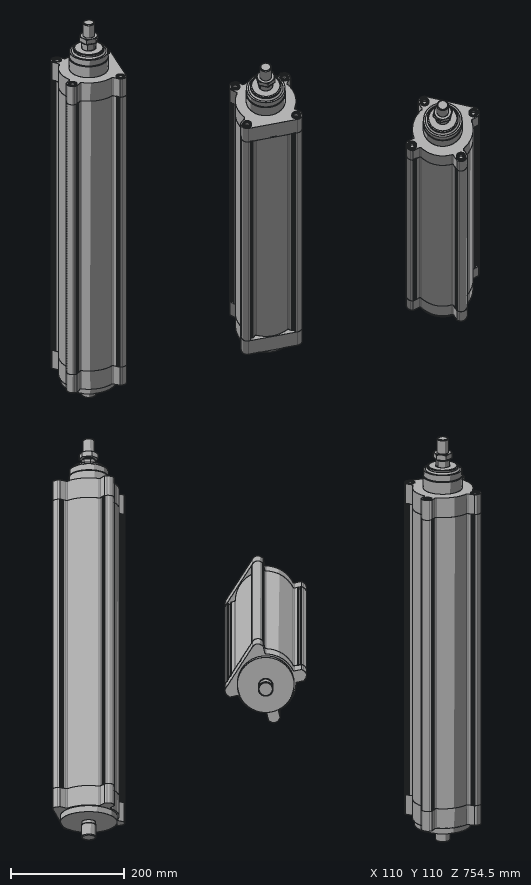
import cadquery as cq
import math

TOTAL_HEIGHT = 754.5
SHAFT_BOTTOM = 0.0
SHAFT_SHOULDER = 23.5
FLANGE_BOTTOM = 29.5
BASE_CAP_BOTTOM = 41.0
CAP_HEIGHT = 37.0
HEAD_CAP_TOP = 662.0
BASE_CAP_TOP = BASE_CAP_BOTTOM + CAP_HEIGHT
HEAD_CAP_BOTTOM = HEAD_CAP_TOP - CAP_HEIGHT

HOUSING_WIDTH = 110.0
BODY_RADIUS = 53.5
SCREW_OFFSET = 44.5
LUG_EDGE = 40.0
VALLEY_FILLET = 2.0

SLOT_MOUTH_WIDTH = 7.0
SLOT_MOUTH_DEPTH = 1.5
SLOT_WIDTH = 3.0
SLOT_DEPTH = 4.0
SLOT_FROM_EDGE = 4.0

LUG_FACE = HOUSING_WIDTH / 2
LUG_RADIUS = LUG_FACE - SCREW_OFFSET
FLANK_DROP = LUG_FACE - LUG_EDGE
VALLEY_NEAR = (math.sqrt(2 * BODY_RADIUS**2 - FLANK_DROP**2) - FLANK_DROP) / 2
VALLEY_FAR = VALLEY_NEAR + FLANK_DROP

SCREW_RECESS_DIAMETER = 16.0
SCREW_HEAD_DIAMETER = 14.0
SCREW_SOCKET_DIAMETER = 8.0
SCREW_RECESS_DEPTH = 2.0
SCREW_SOCKET_DEPTH = 7.5
SCREW_SOCKET_CHAMFER = 1.1

COLLAR_DIAMETER = 69.5
COLLAR_UPPER_DIAMETER = 68.0
COLLAR_STEP = 683.5
COLLAR_CHAMFER_HEIGHT = 1.5
COLLAR_TOP = 696.5
WIPER_BASE_DIAMETER = 61.0
WIPER_DIAMETER = 54.0
WIPER_TOP_DIAMETER = 50.0
WIPER_CONE_HEIGHT = 3.0
WIPER_TOP = 703.0
WIPER_CHAMFER_HEIGHT = 1.0

FLANGE_DIAMETER = 100.0
SHAFT_DIAMETER = 26.5
SHAFT_NECK_DIAMETER = 24.0
SHAFT_CHAMFER = 1.5

ROD_DIAMETER = 25.0
ROD_FLATS = 22.0
ROD_SHOULDER = 715.0
THREAD_DIAMETER = 20.0
THREAD_CHAMFER = 1.5
UNDERCUT_DIAMETER = 18.0
NUT_BOTTOM = 718.0
NUT_HEIGHT = 10.0
NUT_FLATS = 30.0
NUT_CHAMFER_DIAMETER = 30.0
NUT_CHAMFER_ANGLE = 30


def cylinder(diameter, bottom, top):
    return cq.Workplane("XY").workplane(offset=bottom).circle(diameter / 2).extrude(top - bottom)


def turned(x, y, quarter):
    """Turns a point about the axis by a number of quarter turns."""
    for _ in range(quarter):
        x, y = -y, x
    return x, y


def housing_prism(bottom, top):
    """Round body with four corner lugs, the same on all four sides."""
    outline = cq.Workplane("XY").workplane(offset=bottom).moveTo(VALLEY_FAR, VALLEY_NEAR)
    for quarter in range(4):
        outline = (
            outline.lineTo(*turned(LUG_FACE, LUG_EDGE, quarter))
            .lineTo(*turned(LUG_FACE, SCREW_OFFSET, quarter))
            .radiusArc(turned(SCREW_OFFSET, LUG_FACE, quarter), -LUG_RADIUS)
            .lineTo(*turned(LUG_EDGE, LUG_FACE, quarter))
            .lineTo(*turned(VALLEY_NEAR, VALLEY_FAR, quarter))
            .threePointArc(turned(0, BODY_RADIUS, quarter), turned(-VALLEY_NEAR, VALLEY_FAR, quarter))
        )
    prism = outline.close().extrude(top - bottom)
    valleys = prism.edges("|Z").filter(
        lambda edge: math.isclose(math.hypot(edge.Center().x, edge.Center().y), BODY_RADIUS, rel_tol=1e-4)
    )
    return valleys.fillet(VALLEY_FILLET)


def cap_block(bottom, top):
    """Housing prism whose +Y side is filled out to one flat face."""
    back = cq.Workplane("XY").box(2 * SCREW_OFFSET, LUG_FACE, top - bottom, centered=(True, False, False))
    return housing_prism(bottom, top).union(back.translate((0, 0, bottom)))


def make_head_cap():
    cap = cap_block(HEAD_CAP_BOTTOM, HEAD_CAP_TOP)
    cap = cap.cut(screw_recesses())
    return cap.union(bearing_collar()).cut(cylinder(ROD_DIAMETER, HEAD_CAP_BOTTOM, WIPER_TOP))


def screw_recesses():
    """Ring-shaped gap around each screw head, and the round socket in the head."""
    corners = [(x, y) for x in (-SCREW_OFFSET, SCREW_OFFSET) for y in (-SCREW_OFFSET, SCREW_OFFSET)]
    top_face = cq.Workplane("XY").workplane(offset=HEAD_CAP_TOP).pushPoints(corners)
    gaps = (
        top_face.circle(SCREW_RECESS_DIAMETER / 2).circle(SCREW_HEAD_DIAMETER / 2)
        .extrude(-SCREW_RECESS_DEPTH)
    )
    sockets = top_face.circle(SCREW_SOCKET_DIAMETER / 2).extrude(-SCREW_SOCKET_DEPTH)
    mouth_diameter = SCREW_SOCKET_DIAMETER + 2 * SCREW_SOCKET_CHAMFER
    mouths = top_face.circle(mouth_diameter / 2).extrude(-SCREW_SOCKET_CHAMFER, taper=45)
    return gaps.union(sockets).union(mouths)


def bearing_collar():
    """Turned collar with the wiper ring on top."""
    profile = [
        (0, HEAD_CAP_TOP),
        (COLLAR_DIAMETER / 2, HEAD_CAP_TOP),
        (COLLAR_DIAMETER / 2, COLLAR_STEP),
        (COLLAR_UPPER_DIAMETER / 2, COLLAR_STEP + COLLAR_CHAMFER_HEIGHT),
        (COLLAR_UPPER_DIAMETER / 2, COLLAR_TOP),
        (WIPER_BASE_DIAMETER / 2, COLLAR_TOP),
        (WIPER_DIAMETER / 2, COLLAR_TOP + WIPER_CONE_HEIGHT),
        (WIPER_DIAMETER / 2, WIPER_TOP - WIPER_CHAMFER_HEIGHT),
        (WIPER_TOP_DIAMETER / 2, WIPER_TOP),
        (0, WIPER_TOP),
    ]
    return cq.Workplane("XZ").polyline(profile).close().revolve(360, (0, 0, 0), (0, 1, 0))


def make_tube():
    """Housing prism with a stepped slot down each lug flank."""
    tube = housing_prism(BASE_CAP_TOP, HEAD_CAP_BOTTOM)
    length = HEAD_CAP_BOTTOM - BASE_CAP_TOP
    inward = SLOT_FROM_EDGE / math.sqrt(2)
    mouth = cq.Workplane("XY").rect(2 * SLOT_MOUTH_DEPTH, SLOT_MOUTH_WIDTH).extrude(length)
    groove = cq.Workplane("XY").rect(2 * SLOT_DEPTH, SLOT_WIDTH).extrude(length)
    slot = mouth.union(groove)
    first_slot = slot.rotate((0, 0, 0), (0, 0, 1), -45).translate(
        (LUG_FACE - inward, LUG_EDGE - inward, BASE_CAP_TOP)
    )
    for quarter in range(4):
        for flank_slot in (first_slot, first_slot.mirror("YZ")):
            tube = tube.cut(flank_slot.rotate((0, 0, 0), (0, 0, 1), 90 * quarter))
    return tube


def make_base_cap():
    """Cap with the round flange and the drive shaft below it."""
    cap = cap_block(BASE_CAP_BOTTOM, BASE_CAP_TOP)
    flange = cylinder(FLANGE_DIAMETER, FLANGE_BOTTOM, BASE_CAP_BOTTOM)
    neck = cylinder(SHAFT_NECK_DIAMETER, SHAFT_SHOULDER, FLANGE_BOTTOM)
    shaft = cylinder(SHAFT_DIAMETER, SHAFT_BOTTOM, SHAFT_SHOULDER).faces("<Z").chamfer(SHAFT_CHAMFER)
    return cap.union(flange).union(neck).union(shaft)


def make_rod():
    """Rod with two wrench flats, an undercut and the threaded end."""
    rod = cylinder(ROD_DIAMETER, HEAD_CAP_BOTTOM, ROD_SHOULDER)
    flat_height = ROD_SHOULDER - WIPER_TOP
    waste = cq.Workplane("XY").box(ROD_DIAMETER, 2 * ROD_DIAMETER, flat_height, centered=(True, True, False))
    for side in (-1, 1):
        rod = rod.cut(waste.translate((side * (ROD_FLATS + ROD_DIAMETER) / 2, 0, WIPER_TOP)))
    undercut = cylinder(UNDERCUT_DIAMETER, ROD_SHOULDER, NUT_BOTTOM)
    thread = cylinder(THREAD_DIAMETER, NUT_BOTTOM, TOTAL_HEIGHT).faces(">Z").chamfer(THREAD_CHAMFER)
    return rod.union(undercut).union(thread)


def make_nut():
    """Hexagon nut with two flats across X and its upper corners chamfered."""
    corner_radius = NUT_FLATS / 2 / math.cos(math.pi / 6)
    chamfer_radius = NUT_CHAMFER_DIAMETER / 2
    chamfer_height = (corner_radius - chamfer_radius) * math.tan(math.radians(NUT_CHAMFER_ANGLE))
    nut_top = NUT_BOTTOM + NUT_HEIGHT
    nut = cq.Workplane("XY").workplane(offset=NUT_BOTTOM).polygon(6, 2 * corner_radius).extrude(NUT_HEIGHT)
    nut = nut.rotate((0, 0, 0), (0, 0, 1), 30)
    envelope_profile = [
        (0, NUT_BOTTOM),
        (corner_radius, NUT_BOTTOM),
        (corner_radius, nut_top - chamfer_height),
        (chamfer_radius, nut_top),
        (0, nut_top),
    ]
    envelope = cq.Workplane("XZ").polyline(envelope_profile).close().revolve(360, (0, 0, 0), (0, 1, 0))
    return nut.intersect(envelope).cut(cylinder(THREAD_DIAMETER, NUT_BOTTOM, nut_top))


head_cap = make_head_cap()
tube = make_tube()
base_cap = make_base_cap()
rod = make_rod()
nut = make_nut()
result = cq.Compound.makeCompound([head_cap.val(), tube.val(), base_cap.val(), rod.val(), nut.val()])